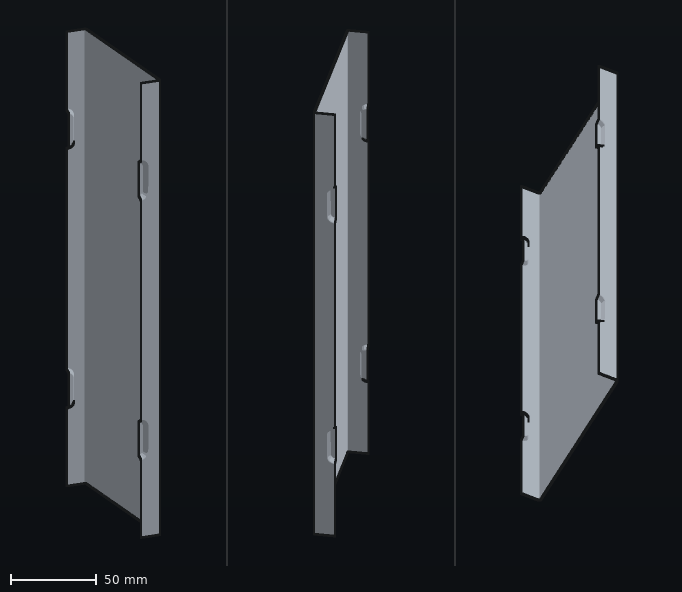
import cadquery as cq
import math

width = 102.2
depth = 12.5
height = 280.0
sheet = 0.6
inner_bend = 0.5
outer_bend = inner_bend + sheet

indent_spacing = 160.0
indent_press = 3.0
indent_length = 23.8
indent_reach = 4.5
indent_draft = 28.0

free_edge_y = -depth / 2
draft_angle = math.radians(indent_draft)
inner_growth = sheet * (1 - math.sin(draft_angle)) / math.cos(draft_angle)


def make_indent(face_x, growth):
    """Tapered obround plug at mid-height, sunk from the flange face at +X toward -X."""
    return (
        cq.Workplane("YZ", origin=(face_x, free_edge_y, 0))
        .slot2D(indent_length + 2 * growth, 2 * (indent_reach + growth), angle=90)
        .extrude(-indent_press, taper=indent_draft)
    )


def edges_near_plane(x, reach_y):
    """Selector for the indent edges lying on the plane at x, within reach_y of the free edge."""
    reach_z = (indent_spacing + 2 * indent_length) / 2
    return cq.selectors.BoxSelector(
        (x - sheet / 2, free_edge_y - reach_y, -reach_z),
        (x + sheet / 2, free_edge_y + reach_y, reach_z),
        boundingbox=True,
    )


def make_body(inset, growth, corner_radius, rim_radius, floor_radius):
    """Solid bounded by one face of the sheet, extended past the free edge so the indents are whole."""
    face_x = width / 2 - inset
    back_y = depth / 2 - inset
    body = (
        cq.Workplane("XY")
        .box(2 * face_x, 2 * depth, height)
        .translate((0, back_y - depth, 0))
        .edges("|Z and >Y")
        .fillet(corner_radius)
    )
    indent = make_indent(face_x, growth)
    for center_z in (-indent_spacing / 2, indent_spacing / 2):
        placed = indent.translate((0, 0, center_z))
        body = body.cut(placed).cut(placed.mirror("YZ"))

    floor_x = face_x - indent_press
    reach_y = depth / 2
    for side in (-1, 1):
        body = body.edges(edges_near_plane(side * face_x, reach_y)).fillet(rim_radius)
        body = body.edges(edges_near_plane(side * floor_x, reach_y)).fillet(floor_radius)
    return body


outer_body = make_body(0, 0, outer_bend, outer_bend, inner_bend)
inner_body = make_body(sheet, inner_growth, inner_bend, inner_bend, outer_bend)

envelope = cq.Workplane("XY").box(width, depth, height)
result = outer_body.cut(inner_body).intersect(envelope).solids()